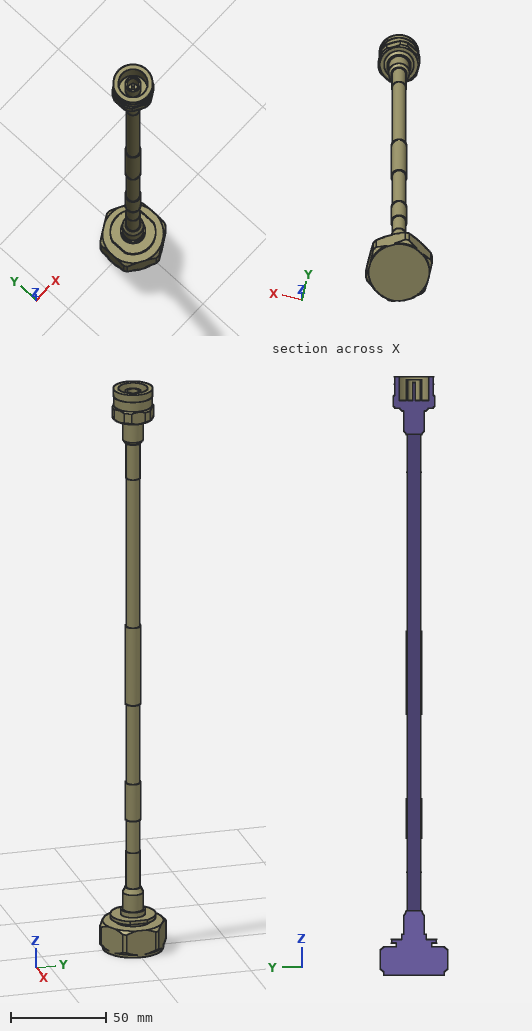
import cadquery as cq
import math

total_length = 314.5

cable_diameter = 7.2
cable_radius = cable_diameter / 2
shrink_diameter = 7.5
shrink_radius = shrink_diameter / 2
marker_diameter = 8.2
marker_radius = marker_diameter / 2
lower_shrink_length = 20.0
upper_shrink_length = 19.8
marker_spans = [(72.0, 92.8), (137.0, 180.8)]

ferrule_diameter = 11.0
ferrule_radius = ferrule_diameter / 2
ferrule_mouth_radius = 4.0

across_flats = 31.8
across_corners = 35.5
nut_flat_distance = across_flats / 2
nut_corner_radius = across_corners / 2
nut_face_radius = 16.0
nut_chamfer = nut_corner_radius - nut_face_radius
nut_lip_height = 1.5
nut_top = 15.0
neck_radius = 9.5
flange_bottom = 17.0
flange_top = 19.0
flange_radius = 12.0
flange_flat_distance = 11.0
collar_diameter = 13.0
collar_radius = collar_diameter / 2
collar_top = 21.7
lower_ferrule_shoulder = 31.0
lower_ferrule_end = 34.0

upper_ferrule_end = 284.0
upper_ferrule_shoulder = 285.8
cone_bottom = 296.2
cone_small_radius = 6.3
cone_large_radius = 8.0
hex_bottom = 297.7
hex_top = 305.0
hex_flat_distance = 10.5
hex_corner_radius = 11.0
hex_chamfer = 1.0
barrel_diameter = 20.5
barrel_radius = barrel_diameter / 2
rim_diameter = 20.8
rim_radius = rim_diameter / 2
rim_bottom = 310.3

bore_diameter = 15.5
bore_radius = bore_diameter / 2
bore_depth = 12.5
contact_outer_radius = 4.0
contact_inner_radius = 3.0
contact_recess = 1.5
pin_radius = 0.8
pin_recess = 3.0


def cylinder(radius, bottom, top):
    return cq.Workplane("XY").workplane(offset=bottom).circle(radius).extrude(top - bottom)


def tube(outer_radius, inner_radius, bottom, top):
    return cylinder(outer_radius, bottom, top).cut(cylinder(inner_radius, bottom, top))


def cone(bottom_radius, top_radius, bottom, top):
    profile = [(0, bottom), (bottom_radius, bottom), (top_radius, top), (0, top)]
    return cq.Workplane("XZ").polyline(profile).close().revolve(360, (0, 0), (0, 1))


def hexagon(flat_distance, bottom, top):
    """Hexagonal prism with two flats facing +X and -X."""
    corner_diameter = 2 * flat_distance / math.cos(math.pi / 6)
    prism = cq.Workplane("XY").workplane(offset=bottom).polygon(6, corner_diameter).extrude(top - bottom)
    return prism.rotate((0, 0, 0), (0, 0, 1), 30)


def hex_nut(flat_distance, corner_radius, bottom, top, chamfer):
    """Hexagon with its corners turned round and chamfered at both ends."""
    turned_blank = cylinder(corner_radius, bottom, top).faces("<Z or >Z").chamfer(chamfer)
    return hexagon(flat_distance, bottom, top).intersect(turned_blank)


def make_flange():
    """Round flange with a flat on its +X and -X sides."""
    flats = (
        cq.Workplane("XY")
        .workplane(offset=flange_bottom)
        .rect(2 * flange_flat_distance, 2 * flange_radius)
        .extrude(flange_top - flange_bottom)
    )
    return cylinder(flange_radius, flange_bottom, flange_top).intersect(flats)


def make_lower_connector():
    lip = cylinder(nut_face_radius, 0, nut_lip_height).intersect(
        hexagon(nut_flat_distance, 0, nut_lip_height)
    )
    nut = hex_nut(nut_flat_distance, nut_corner_radius, nut_lip_height, nut_top, nut_chamfer)
    return (
        lip.union(nut)
        .union(cylinder(neck_radius, nut_top, flange_bottom))
        .union(make_flange())
        .union(cylinder(collar_radius, flange_top, collar_top))
        .union(cylinder(ferrule_radius, collar_top, lower_ferrule_shoulder))
        .union(cone(ferrule_radius, ferrule_mouth_radius, lower_ferrule_shoulder, lower_ferrule_end))
    )


def make_socket_void():
    """Open space of the socket, leaving the ring contact and the centre pin standing."""
    floor = total_length - bore_depth
    contact = tube(contact_outer_radius, contact_inner_radius, floor, total_length - contact_recess)
    pin = cylinder(pin_radius, floor, total_length - pin_recess)
    return cylinder(bore_radius, floor, total_length).cut(contact).cut(pin)


def make_upper_connector():
    outside = (
        cone(ferrule_mouth_radius, ferrule_radius, upper_ferrule_end, upper_ferrule_shoulder)
        .union(cylinder(ferrule_radius, upper_ferrule_shoulder, cone_bottom))
        .union(cone(cone_small_radius, cone_large_radius, cone_bottom, hex_bottom))
        .union(hex_nut(hex_flat_distance, hex_corner_radius, hex_bottom, hex_top, hex_chamfer))
        .union(cylinder(barrel_radius, hex_top, rim_bottom))
        .union(cylinder(rim_radius, rim_bottom, total_length))
    )
    return outside.cut(make_socket_void())


def make_shrink_tube(bottom, top):
    return tube(shrink_radius, cable_radius, bottom, top)


def make_marker_sleeve(bottom, top):
    return tube(marker_radius, cable_radius, bottom, top)


lower_connector = make_lower_connector()
upper_connector = make_upper_connector()
cable = cylinder(cable_radius, lower_ferrule_end, upper_ferrule_end)

shrink_spans = [
    (lower_ferrule_end, lower_ferrule_end + lower_shrink_length),
    (upper_ferrule_end - upper_shrink_length, upper_ferrule_end),
]
shrink_tubes = [make_shrink_tube(bottom, top) for bottom, top in shrink_spans]
marker_sleeves = [make_marker_sleeve(bottom, top) for bottom, top in marker_spans]

result = cq.Compound.makeCompound(
    [
        lower_connector.val(),
        upper_connector.val(),
        cable.val(),
        *[shrink_tube.val() for shrink_tube in shrink_tubes],
        *[sleeve.val() for sleeve in marker_sleeves],
    ]
)